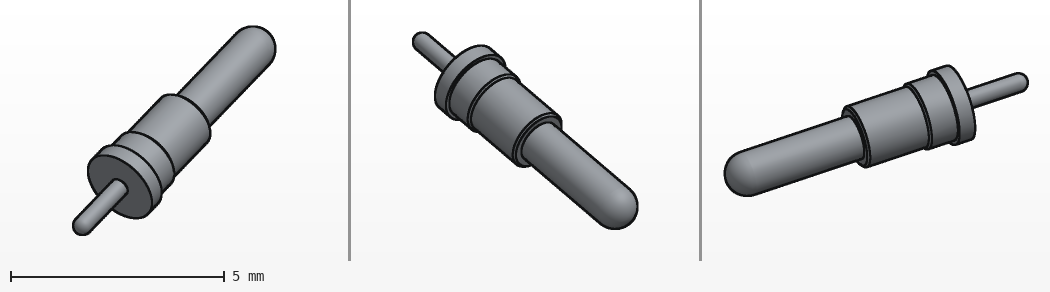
import cadquery as cq
import math

tail_diameter = 0.45
flange_diameter = 1.83
collar_diameter = 1.62
barrel_diameter = 1.5
plunger_diameter = 1.06

overall_length = 7.75
tail_length = 1.76
flange_length = 0.4
collar_length = 0.72
barrel_length = 1.565

edge_chamfer = 0.055

flange_start = tail_length
collar_start = flange_start + flange_length
barrel_start = collar_start + collar_length
plunger_start = barrel_start + barrel_length

tail_radius = tail_diameter / 2
flange_radius = flange_diameter / 2
collar_radius = collar_diameter / 2
barrel_radius = barrel_diameter / 2
plunger_radius = plunger_diameter / 2


def dome_midpoint(radius):
    """Radial and axial offsets, from the sphere centre, of a dome's 45-degree point."""
    offset = radius * math.sqrt(0.5)
    return offset, offset


tail_mid_x, tail_mid_y = dome_midpoint(tail_radius)
plunger_mid_x, plunger_mid_y = dome_midpoint(plunger_radius)
plunger_dome_start = overall_length - plunger_radius

profile = (
    cq.Workplane("XY")
    .moveTo(0, 0)
    .threePointArc((tail_mid_x, tail_radius - tail_mid_y), (tail_radius, tail_radius))
    .lineTo(tail_radius, flange_start)
    .lineTo(flange_radius, flange_start)
    .lineTo(flange_radius, collar_start)
    .lineTo(collar_radius, collar_start)
    .lineTo(collar_radius, barrel_start - edge_chamfer)
    .lineTo(barrel_radius, barrel_start)
    .lineTo(barrel_radius, plunger_start - edge_chamfer)
    .lineTo(barrel_radius - edge_chamfer, plunger_start)
    .lineTo(plunger_radius, plunger_start)
    .lineTo(plunger_radius, plunger_dome_start)
    .threePointArc((plunger_mid_x, plunger_dome_start + plunger_mid_y), (0, overall_length))
    .close()
)

result = profile.revolve(360, (0, 0, 0), (0, 1, 0))